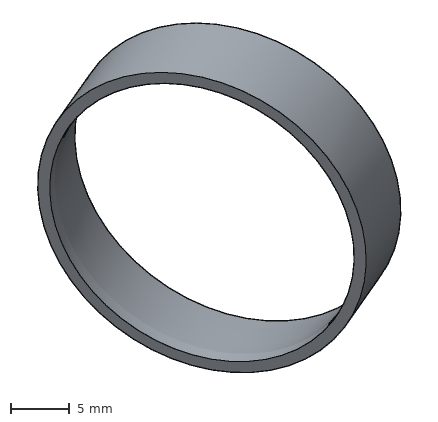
import cadquery as cq

outer_radius = 15.12
wall = 1.12
width = 8.0
land_width = 1.2
rear_flare = 0.88

bore_radius = outer_radius - wall
front = -width / 2
rear = width / 2
land_end = front + land_width

section = (
    cq.Workplane("YZ")
    .moveTo(front, outer_radius)
    .lineTo(rear, outer_radius)
    .lineTo(rear, bore_radius + rear_flare)
    .lineTo(land_end, bore_radius)
    .lineTo(front, bore_radius)
    .close()
)

result = section.revolve(360, (0, 0, 0), (1, 0, 0))